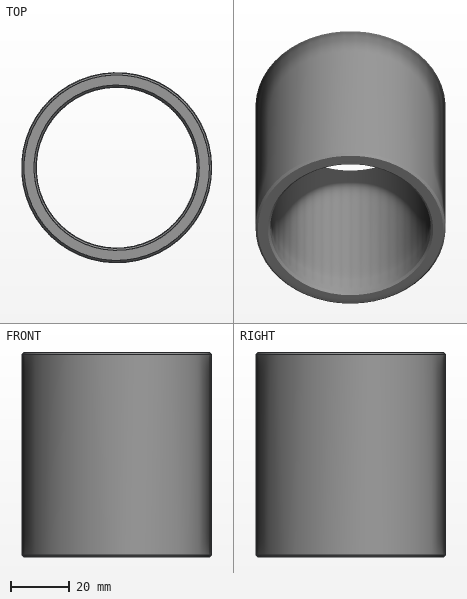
import cadquery as cq

length = 70.0
outer_diameter = 65.0
bore_diameter = 55.0
edge_chamfer = 0.8

sleeve = (
    cq.Workplane("XY")
    .circle(outer_diameter / 2)
    .circle(bore_diameter / 2)
    .extrude(length)
)

result = sleeve.faces("<Z or >Z").edges().chamfer(edge_chamfer)